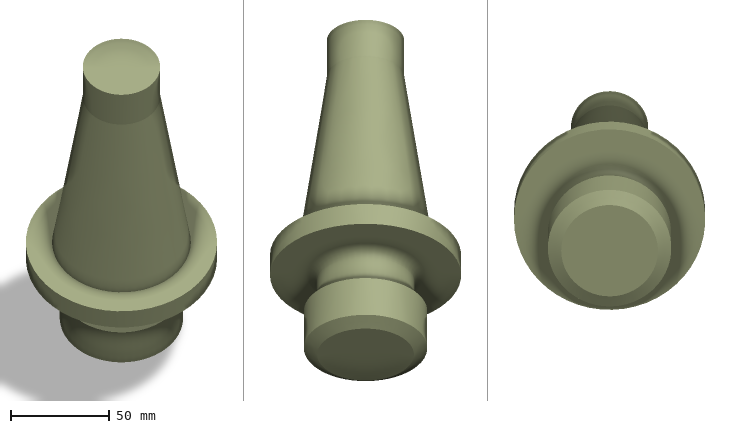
import cadquery as cq

total_height = 189.8
shank_height = 22.0
flange_top = 60.0
flange_thickness = 12.0
collar_top = 26.2

shank_diameter = 39.5
taper_base_diameter = 70.8
flange_diameter = 97.5
neck_diameter = 50.1
collar_diameter = 63.0

neck_fillet = 5.0
chamfer_height = 4.0
chamfer_width = 6.8

taper_top = total_height - shank_height
flange_bottom = flange_top - flange_thickness


def cylinder(diameter, bottom, top):
    """Upright cylinder on the Z axis between two levels."""
    return cq.Workplane("XY").workplane(offset=bottom).circle(diameter / 2).extrude(top - bottom)


def cone(bottom_diameter, top_diameter, bottom, top):
    """Upright truncated cone on the Z axis between two levels."""
    profile = [
        (0, bottom),
        (bottom_diameter / 2, bottom),
        (top_diameter / 2, top),
        (0, top),
    ]
    return cq.Workplane("XZ").polyline(profile).close().revolve(360, (0, 0), (0, 1))


collar = cylinder(collar_diameter, chamfer_height, collar_top)
collar_chamfer = cone(collar_diameter - 2 * chamfer_width, collar_diameter, 0, chamfer_height)

flange = cylinder(flange_diameter, flange_bottom, flange_top)
neck = cylinder(neck_diameter, collar_top, flange_bottom)
neck_corner = cq.selectors.RadiusNthSelector(0)
flanged_neck = flange.union(neck).faces("<Z[1]").edges(neck_corner).fillet(neck_fillet)

taper = cone(taper_base_diameter, shank_diameter, flange_top, taper_top)
shank = cylinder(shank_diameter, taper_top, total_height)

result = collar.union(collar_chamfer).union(flanged_neck).union(taper).union(shank)